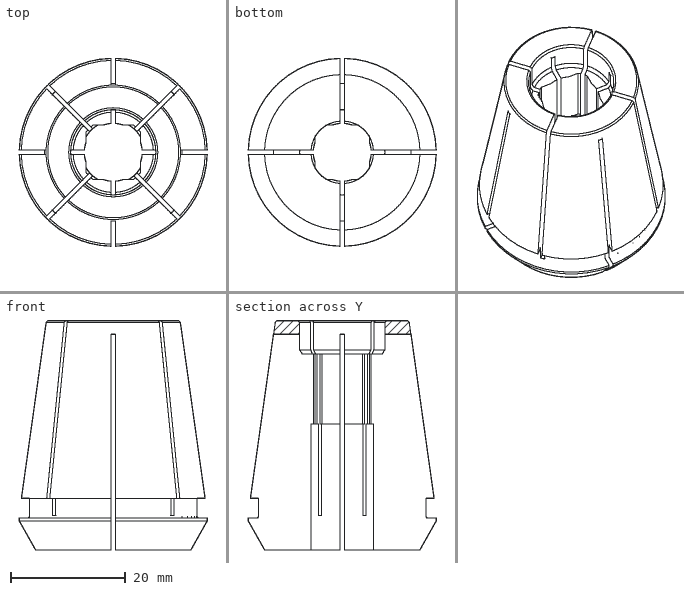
import cadquery as cq
import math

height = 40.0
flange_radius = 16.4
nose_radius = 13.55
flange_bottom = 5.05
flange_top = 5.6
groove_radius = 14.65
groove_fillet = 0.2
taper_bottom = 9.0
taper_bottom_radius = 16.04
taper_half_angle = 8.0
rim_chamfer = 0.3

counterbore_radius = 7.42
counterbore_floor = 34.2
counterbore_mouth_chamfer = 0.35
floor_flat_radius = 7.0
floor_bevel_height = 0.7
square_width = 9.46
square_corner_radius = 5.9
pilot_radius = 5.03
square_bottom = 22.0
shank_radius = 5.45

slot_count = 4
slot_width = 0.75
lower_slot_top = 37.6
upper_slot_bottom = 6.0


def make_body():
    """Revolved outside shape: clamping cone, flange, groove and long taper."""
    chamfer_start = height - rim_chamfer
    taper_slope = math.tan(math.radians(taper_half_angle))
    taper_top_radius = taper_bottom_radius - (chamfer_start - taper_bottom) * taper_slope
    profile = (
        cq.Workplane("XZ")
        .lineTo(nose_radius, 0)
        .lineTo(flange_radius, flange_bottom)
        .lineTo(flange_radius, flange_top)
        .lineTo(groove_radius + groove_fillet, flange_top)
        .radiusArc((groove_radius, flange_top + groove_fillet), groove_fillet)
        .lineTo(groove_radius, taper_bottom)
        .lineTo(taper_bottom_radius, taper_bottom)
        .lineTo(taper_top_radius, chamfer_start)
        .lineTo(taper_top_radius - rim_chamfer, height)
        .lineTo(0, height)
        .close()
    )
    return profile.revolve(360, (0, 0, 0), (0, 1, 0))


def make_counterbore():
    """Round recess in the top face, with a bevelled mouth and a bevelled floor edge."""
    profile = (
        cq.Workplane("XZ")
        .moveTo(0, counterbore_floor)
        .lineTo(floor_flat_radius, counterbore_floor)
        .lineTo(counterbore_radius, counterbore_floor + floor_bevel_height)
        .lineTo(counterbore_radius, height - counterbore_mouth_chamfer)
        .lineTo(counterbore_radius + counterbore_mouth_chamfer, height)
        .lineTo(0, height)
        .close()
    )
    return profile.revolve(360, (0, 0, 0), (0, 1, 0))


def make_square_bore():
    """Square drive section with rounded corners and a round pilot bore through it."""
    depth = counterbore_floor - square_bottom
    base = cq.Workplane("XY").workplane(offset=square_bottom)
    corner_round = base.circle(square_corner_radius).extrude(depth)
    square = base.rect(square_width, square_width).extrude(depth).intersect(corner_round)
    pilot = base.circle(pilot_radius).extrude(depth)
    return square.union(pilot)


def make_shank_bore():
    """Round bore from the bottom face up to the square section."""
    return cq.Workplane("XY").circle(shank_radius).extrude(square_bottom)


def make_slot(bottom, top, angle):
    """Radial slot from the axis outward, at the given angle about Z."""
    reach = flange_radius + slot_width
    return (
        cq.Workplane("XY")
        .workplane(offset=bottom)
        .center(reach / 2, 0)
        .rect(reach, slot_width)
        .extrude(top - bottom)
        .rotate((0, 0, 0), (0, 0, 1), angle)
    )


result = make_body()
for bore in (make_counterbore(), make_square_bore(), make_shank_bore()):
    result = result.cut(bore)

slot_pitch = 360 / slot_count
for index in range(slot_count):
    lower_angle = index * slot_pitch
    upper_angle = lower_angle + slot_pitch / 2
    result = result.cut(make_slot(0, lower_slot_top, lower_angle))
    result = result.cut(make_slot(upper_slot_bottom, height, upper_angle))